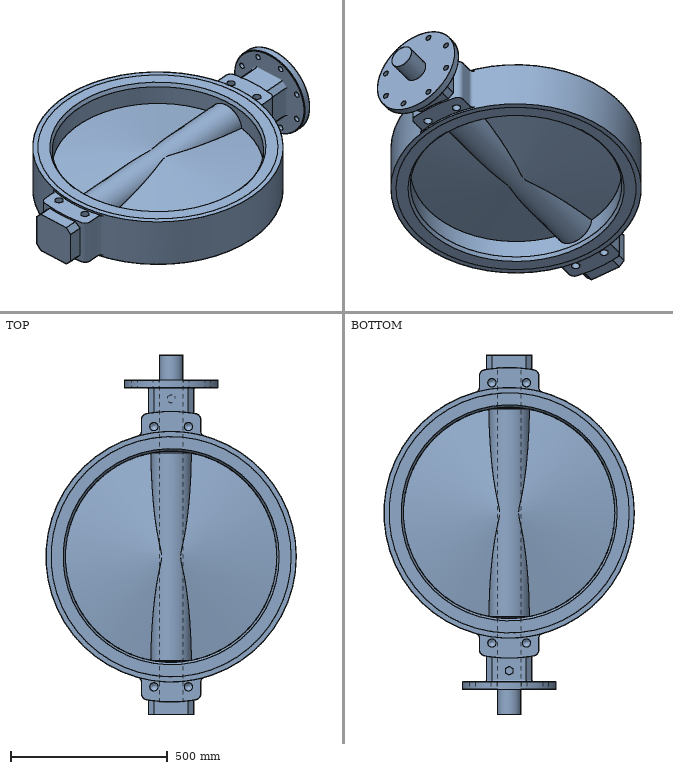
import cadquery as cq
import math

RING_DIAMETER = 800.0
RING_RADIUS = RING_DIAMETER / 2
RING_HEIGHT = 170.0
LINER_RADIUS = 383.0
BORE_RADIUS = 338.0
BORE_CHAMFER_WIDTH = 7.5
BORE_CHAMFER_DEPTH = 13.0
DISC_RIM_HALF = 6.0
DISC_PEAK = 63.0
HUB_RADIUS = 65.0

LUG_WIDTH = 190.0
LUG_HEIGHT = 156.0
LUG_REACH = 464.0
LUG_CORNER_RADIUS = 21.0
LUG_ROOT_RADIUS = 14.0
LUG_HOLE_DIAMETER = 26.0
LUG_HOLE_SPACING = 110.0
LUG_HOLE_Y = 416.0
LUG_HOLE_DEPTH = 46.0
DRILL_POINT_ANGLE = 118

NECK_SIZE = 145.0
NECK_CHAMFER = 18.0
BLOCK_END_Y = -504.0
FLANGE_Y = 538.0
FLANGE_THICKNESS = 25.0
FLANGE_DIAMETER = 300.0
FLANGE_RADIUS = FLANGE_DIAMETER / 2
FLANGE_CHAMFER = 2.0
NECK_FILLET = 5.0
BOLT_CIRCLE_RADIUS = 126.0
BOLT_HOLE_DIAMETER = 18.0
BOLT_COUNT = 8

SHAFT_RADIUS = 38.0
SHAFT_TOP_Y = 644.0
SHAFT_BOTTOM_Y = -LUG_REACH

PLUG_ACROSS_CORNERS = 28.0
PLUG_SIDES = 6
PLUG_HEIGHT = 3.0
PLUG_Y = 504.0


def rod_along_y(radius, start_y, end_y):
    """Round bar on the shaft axis between two Y positions."""
    return cq.Workplane("XZ", origin=(0, start_y, 0)).circle(radius).extrude(start_y - end_y)


def square_bar(start_y, end_y):
    """Chamfered square bar on the shaft axis between two Y positions."""
    bar = cq.Workplane("XZ", origin=(0, start_y, 0)).rect(NECK_SIZE, NECK_SIZE).extrude(start_y - end_y)
    return bar.edges("|Y").chamfer(NECK_CHAMFER)


def lug_bar():
    """One plate across the ring whose two rounded ends form the lugs."""
    length = 2 * LUG_REACH
    plate = cq.Workplane("XY").box(LUG_WIDTH, length, LUG_HEIGHT)
    outer_arcs = cq.Workplane("XY").circle(LUG_REACH).extrude(LUG_HEIGHT / 2, both=True)
    return plate.intersect(outer_arcs).edges("|Z").fillet(LUG_CORNER_RADIUS)


def lug_root_fillets():
    """Concave fillers where the lug sides meet the ring."""
    side_x = LUG_WIDTH / 2
    centre_x = side_x + LUG_ROOT_RADIUS
    centre_y = math.sqrt((RING_RADIUS + LUG_ROOT_RADIUS) ** 2 - centre_x ** 2)
    touch = RING_RADIUS / (RING_RADIUS + LUG_ROOT_RADIUS)
    root_y = math.sqrt(RING_RADIUS ** 2 - side_x ** 2)
    corner = (side_x, centre_y)
    filler = (
        cq.Workplane("XY")
        .moveTo(*corner)
        .lineTo(side_x, root_y)
        .lineTo(centre_x * touch, centre_y * touch)
        .radiusArc(corner, LUG_ROOT_RADIUS)
        .close()
        .extrude(LUG_HEIGHT / 2, both=True)
    )
    pair = filler.union(filler.mirror("YZ"))
    return pair.union(pair.mirror("XZ"))


def flange():
    """Round mounting plate with its ring of bolt holes."""
    plate = rod_along_y(FLANGE_RADIUS, FLANGE_Y, FLANGE_Y + FLANGE_THICKNESS)
    plate = plate.faces("<Y").edges().chamfer(FLANGE_CHAMFER)
    first_angle = 180 / BOLT_COUNT
    holes = (
        cq.Workplane("XZ", origin=(0, FLANGE_Y, 0))
        .polarArray(BOLT_CIRCLE_RADIUS, first_angle, 360, BOLT_COUNT)
        .circle(BOLT_HOLE_DIAMETER / 2)
        .extrude(-FLANGE_THICKNESS)
    )
    return plate.cut(holes)


def lug_hole(x, y):
    """Blind drilled hole with a conical tip, entering from the top face."""
    radius = LUG_HOLE_DIAMETER / 2
    top_z = LUG_HEIGHT / 2
    floor_z = top_z - LUG_HOLE_DEPTH
    tip_z = floor_z - radius / math.tan(math.radians(DRILL_POINT_ANGLE / 2))
    profile = [(0, top_z), (radius, top_z), (radius, floor_z), (0, tip_z)]
    hole = cq.Workplane("XZ").polyline(profile).close().revolve(360, (0, 0), (0, 1))
    return hole.translate((x, y, 0))


def make_housing():
    """Ring with lugs, bottom block, neck and mounting flange."""
    half = RING_HEIGHT / 2
    neck_and_flange = square_bar(0, FLANGE_Y).union(flange())
    neck_outline = cq.selectors.BoxSelector(
        (-NECK_SIZE, FLANGE_Y - NECK_FILLET, -NECK_SIZE),
        (NECK_SIZE, FLANGE_Y + NECK_FILLET, NECK_SIZE),
    )
    neck_and_flange = neck_and_flange.edges("%LINE and (not |Y)").edges(neck_outline).fillet(NECK_FILLET)
    housing = cq.Workplane("XY").circle(RING_RADIUS).extrude(half, both=True)
    housing = housing.union(lug_bar()).union(lug_root_fillets())
    housing = housing.union(square_bar(BLOCK_END_Y, 0)).union(neck_and_flange)
    housing = housing.cut(cq.Workplane("XY").circle(LINER_RADIUS).extrude(half, both=True))
    for x in (-LUG_HOLE_SPACING / 2, LUG_HOLE_SPACING / 2):
        for y in (-LUG_HOLE_Y, LUG_HOLE_Y):
            hole = lug_hole(x, y)
            housing = housing.cut(hole).cut(hole.mirror("XY"))
    return housing.cut(rod_along_y(SHAFT_RADIUS, SHAFT_BOTTOM_Y, SHAFT_TOP_Y))


def make_liner():
    """Seat ring lining the housing, chamfered at both bore mouths."""
    top_z = RING_HEIGHT / 2
    mouth_radius = BORE_RADIUS + BORE_CHAMFER_WIDTH
    chamfer_z = top_z - BORE_CHAMFER_DEPTH
    profile = [
        (LINER_RADIUS, -top_z),
        (LINER_RADIUS, top_z),
        (mouth_radius, top_z),
        (BORE_RADIUS, chamfer_z),
        (BORE_RADIUS, -chamfer_z),
        (mouth_radius, -top_z),
    ]
    liner = cq.Workplane("XZ").polyline(profile).close().revolve(360, (0, 0), (0, 1))
    return liner.cut(rod_along_y(SHAFT_RADIUS, SHAFT_BOTTOM_Y, SHAFT_TOP_Y))


def make_disc():
    """Double-cone disc with a round hub across it, turned to a spherical rim."""
    profile = [
        (0, -DISC_PEAK),
        (BORE_RADIUS, -DISC_RIM_HALF),
        (BORE_RADIUS, DISC_RIM_HALF),
        (0, DISC_PEAK),
    ]
    cones = cq.Workplane("XZ").polyline(profile).close().revolve(360, (0, 0), (0, 1))
    disc = cones.union(rod_along_y(HUB_RADIUS, -BORE_RADIUS, BORE_RADIUS))
    disc = disc.intersect(cq.Workplane("XY").sphere(BORE_RADIUS))
    return disc.cut(rod_along_y(SHAFT_RADIUS, SHAFT_BOTTOM_Y, SHAFT_TOP_Y))


def make_shaft():
    """Stem through the flange, neck and disc hub into the bottom block."""
    return rod_along_y(SHAFT_RADIUS, SHAFT_BOTTOM_Y, SHAFT_TOP_Y)


def make_plug():
    """Hex plug head against the underside of the neck, two flats facing along X."""
    head = cq.Workplane("XY").polygon(PLUG_SIDES, PLUG_ACROSS_CORNERS).extrude(-PLUG_HEIGHT)
    return head.rotate((0, 0, 0), (0, 0, 1), 90).translate((0, PLUG_Y, -NECK_SIZE / 2))


housing = make_housing()
liner = make_liner()
disc = make_disc()
shaft = make_shaft()
plug = make_plug()

bodies = [housing, liner, disc, shaft, plug]
result = cq.Compound.makeCompound([body.val() for body in bodies])